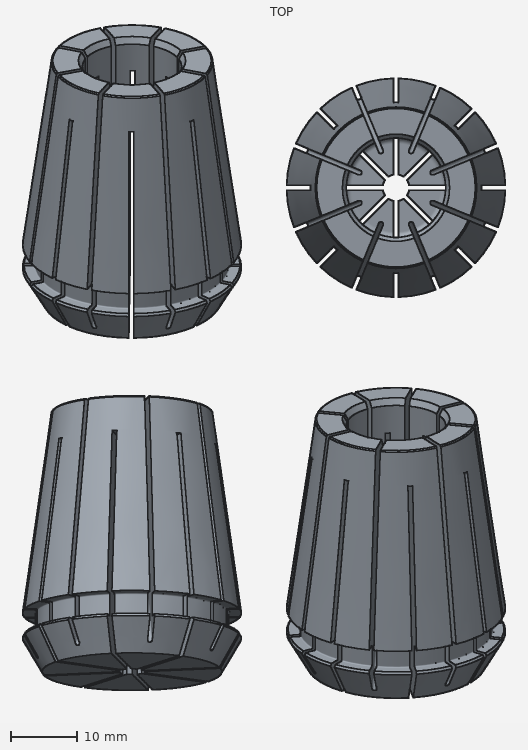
import cadquery as cq
import math

length = 40.0
max_radius = 16.5
taper_angle = 8.0
top_edge_chamfer = 0.2

groove_radius = 14.6
groove_bottom = 5.5
groove_top = 9.0
groove_fillet = 0.2

nose_angle = 30.0
nose_rim_height = 0.4
nose_rim_inset = nose_rim_height * math.tan(math.radians(nose_angle))
nose_max_z = groove_bottom - nose_rim_height
nose_bottom_radius = max_radius - nose_max_z * math.tan(math.radians(nose_angle))

top_radius = max_radius - (length - groove_top) * math.tan(math.radians(taper_angle))

hole_radius = 2.0
bore_radius = 7.5
bore_floor_fillet = 0.8
bore_mouth_inset = 0.6
bore_mouth_depth = 1.0

slit_width = 0.7
slits_per_set = 8
slit_pitch = 360.0 / slits_per_set
nose_slit_top = 34.5
rear_slit_floor_angle = 67.0
rear_slit_exit_z = 1.5
rear_slit_exit_radius = nose_bottom_radius + rear_slit_exit_z * math.tan(math.radians(nose_angle))
rear_slit_inner_radius = 5.6
rear_slit_floor_fillet = 0.49 * slit_width

rear_slit_run = rear_slit_exit_radius - rear_slit_inner_radius
bore_floor = rear_slit_exit_z + rear_slit_run * math.tan(math.radians(rear_slit_floor_angle))


def make_body():
    """Solid of revolution: nose cone, groove and long taper."""
    body = (
        cq.Workplane("XZ")
        .moveTo(0, 0)
        .lineTo(nose_bottom_radius, 0)
        .lineTo(max_radius, nose_max_z)
        .lineTo(max_radius - nose_rim_inset, groove_bottom)
        .lineTo(groove_radius + groove_fillet, groove_bottom)
        .radiusArc((groove_radius, groove_bottom + groove_fillet), groove_fillet)
        .lineTo(groove_radius, groove_top - groove_fillet)
        .radiusArc((groove_radius + groove_fillet, groove_top), groove_fillet)
        .lineTo(max_radius, groove_top)
        .lineTo(top_radius, length)
        .lineTo(0, length)
        .close()
        .revolve(360, (0, 0), (0, 1))
    )
    return body.faces(">Z").edges().chamfer(top_edge_chamfer)


def make_bore():
    """Through hole, rear bore with a rounded floor corner, and a tapered mouth."""
    mouth_start = length - bore_mouth_depth
    return (
        cq.Workplane("XZ")
        .moveTo(0, 0)
        .lineTo(hole_radius, 0)
        .lineTo(hole_radius, bore_floor)
        .lineTo(bore_radius - bore_floor_fillet, bore_floor)
        .radiusArc((bore_radius, bore_floor + bore_floor_fillet), -bore_floor_fillet)
        .lineTo(bore_radius, mouth_start)
        .lineTo(bore_radius + bore_mouth_inset, length)
        .lineTo(0, length)
        .close()
        .revolve(360, (0, 0), (0, 1))
    )


def make_nose_slit():
    """Radial slit along +X, open at the nose and ending below the rear face."""
    return (
        cq.Workplane("XY")
        .box(max_radius, slit_width, nose_slit_top, centered=(False, True, False))
    )


def make_rear_slit():
    """Radial slit along +X, open at the rear, with a rounded floor sloping down and out through the nose."""
    slit = (
        cq.Workplane("XZ")
        .moveTo(rear_slit_inner_radius, bore_floor)
        .lineTo(rear_slit_exit_radius, rear_slit_exit_z)
        .lineTo(max_radius, rear_slit_exit_z)
        .lineTo(max_radius, length)
        .lineTo(rear_slit_inner_radius, length)
        .close()
        .extrude(slit_width / 2, both=True)
    )
    floor_direction = cq.Vector(rear_slit_run, 0, rear_slit_exit_z - bore_floor)
    floor_edges = cq.selectors.ParallelDirSelector(floor_direction)
    return slit.edges(floor_edges).fillet(rear_slit_floor_fillet)


nose_slit = make_nose_slit()
rear_slit = make_rear_slit()

result = make_body().cut(make_bore())
for i in range(slits_per_set):
    angle = i * slit_pitch
    result = result.cut(nose_slit.rotate((0, 0, 0), (0, 0, 1), angle))
    result = result.cut(rear_slit.rotate((0, 0, 0), (0, 0, 1), angle + slit_pitch / 2))